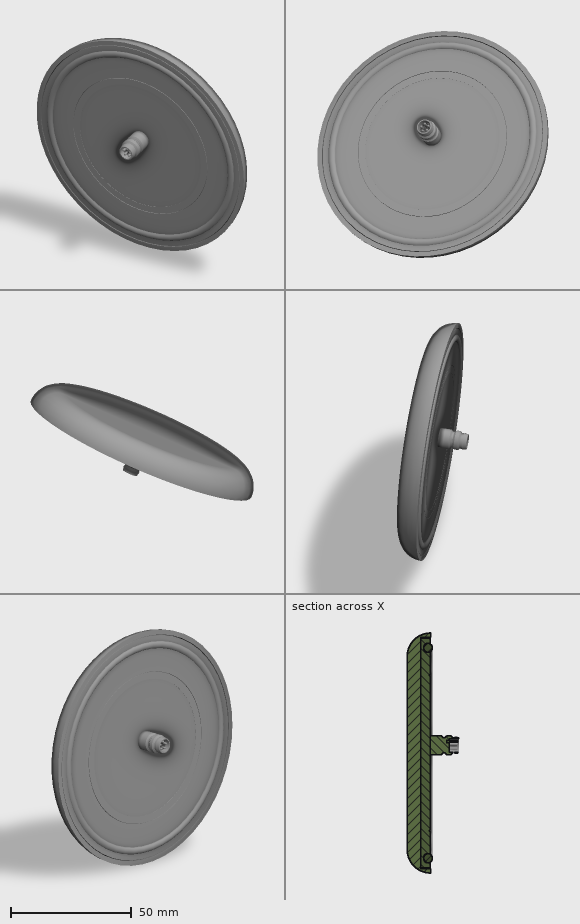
import cadquery as cq
import math


DOME_RADIUS = 49.9
DOME_HEIGHT = 10.0

PLATE_RADIUS = 47.6
PLATE_GAP = 0.3
PLATE_THICKNESS = 4.0
PLATE_RECESS = 0.1
GROOVE_RADIUS = 32.3
GROOVE_WIDTH = 0.2
GROOVE_DEPTH = 0.5
RECESS_RADIUS = 29.1
RECESS_DEPTH = 0.1

SEAL_RADIUS = 43.6
SEAL_WIRE_RADIUS = 1.8
SEAL_HEIGHT = 0.7

CONNECTOR_Z = 3.2
CONNECTOR_RADIUS = 4.0
NECK_RADIUS = 3.3
RIDGE_RADIUS = 3.5
TIP_RADIUS = 3.2
BORE_RADIUS = 2.7
BODY_END = 4.4
NECK_START = 5.1
NECK_END = 5.8
COLLAR_START = 6.6
COLLAR_END = 8.2
SLEEVE_START = 8.9
RIDGE_START = 10.0
CONNECTOR_LENGTH = 11.7
TIP_CHAMFER = 0.1

BORE_DEPTH = 4.0
KEY_HEIGHT = 0.5
KEY_SPREAD = math.radians(52)

PIN_COUNT = 5
PIN_RADIUS = 0.5
PIN_CIRCLE_RADIUS = 1.6
PIN_TIP_INSET = 0.5
PIN_SINK = 1.0

plate_back_y = PLATE_RECESS + PLATE_THICKNESS
recess_y = PLATE_RECESS + RECESS_DEPTH
bore_floor_y = BORE_DEPTH - CONNECTOR_LENGTH
seal_y = SEAL_WIRE_RADIUS - SEAL_HEIGHT


def disc(radius, y_start, y_end, x=0.0, z=0.0):
    """Cylinder along Y between two planes."""
    return (
        cq.Workplane("XZ", origin=(x, y_start, z))
        .circle(radius)
        .extrude(y_start - y_end)
    )


def turned(outline, z=0.0):
    """Solid of revolution about a line parallel to Y from a closed outline of radius and Y."""
    return outline.close().revolve(360, (0, 0, 0), (0, 1, 0)).translate((0, 0, z))


def make_dome():
    flat_radius = DOME_RADIUS - DOME_HEIGHT
    diagonal = DOME_HEIGHT * math.sqrt(0.5)
    outline = (
        cq.Workplane("XY")
        .lineTo(DOME_RADIUS, 0)
        .threePointArc((flat_radius + diagonal, diagonal), (flat_radius, DOME_HEIGHT))
        .lineTo(0, DOME_HEIGHT)
    )
    return turned(outline).cut(disc(PLATE_RADIUS + PLATE_GAP, 0, plate_back_y))


def make_seal():
    outline = cq.Workplane("XY").center(SEAL_RADIUS, seal_y).circle(SEAL_WIRE_RADIUS)
    return outline.revolve(360, (-SEAL_RADIUS, 0, 0), (-SEAL_RADIUS, 1, 0))


def make_plate(seal):
    groove_floor_y = PLATE_RECESS + GROOVE_DEPTH
    groove_core = disc(GROOVE_RADIUS - GROOVE_WIDTH, PLATE_RECESS, groove_floor_y)
    groove = disc(GROOVE_RADIUS, PLATE_RECESS, groove_floor_y).cut(groove_core)
    recess = disc(RECESS_RADIUS, PLATE_RECESS, recess_y)
    return disc(PLATE_RADIUS, PLATE_RECESS, plate_back_y).cut(groove).cut(recess).cut(seal)


def make_key():
    """Part of the bore above a roof-shaped edge whose peak and feet lie on the bore wall."""
    foot_x = BORE_RADIUS * math.sin(KEY_SPREAD)
    foot_z = BORE_RADIUS * math.cos(KEY_SPREAD)
    top_z = CONNECTOR_RADIUS
    key_y = bore_floor_y - KEY_HEIGHT
    side = (
        cq.Workplane("XZ", origin=(0, key_y, CONNECTOR_Z))
        .polyline([(0, BORE_RADIUS), (foot_x, foot_z), (foot_x, top_z), (0, top_z)])
        .close()
        .extrude(-KEY_HEIGHT)
    )
    roof = side.union(side.mirror("YZ"))
    return roof.intersect(disc((BORE_RADIUS + NECK_RADIUS) / 2, key_y, bore_floor_y, z=CONNECTOR_Z))


def make_connector():
    outline = (
        cq.Workplane("XY")
        .moveTo(0, recess_y)
        .lineTo(CONNECTOR_RADIUS, recess_y)
        .lineTo(CONNECTOR_RADIUS, -BODY_END)
        .lineTo(NECK_RADIUS, -NECK_START)
        .lineTo(NECK_RADIUS, -NECK_END)
        .lineTo(CONNECTOR_RADIUS, -COLLAR_START)
        .lineTo(CONNECTOR_RADIUS, -COLLAR_END)
        .lineTo(NECK_RADIUS, -SLEEVE_START)
        .lineTo(NECK_RADIUS, -RIDGE_START)
        .lineTo(RIDGE_RADIUS, -RIDGE_START)
        .lineTo(TIP_RADIUS, TIP_CHAMFER - CONNECTOR_LENGTH)
        .lineTo(TIP_RADIUS - TIP_CHAMFER, -CONNECTOR_LENGTH)
        .lineTo(BORE_RADIUS, -CONNECTOR_LENGTH)
        .lineTo(BORE_RADIUS, bore_floor_y)
        .lineTo(0, bore_floor_y)
    )
    return turned(outline, CONNECTOR_Z).union(make_key())


def make_pin(index):
    angle = math.pi / 2 + 2 * math.pi * index / PIN_COUNT
    x = PIN_CIRCLE_RADIUS * math.cos(angle)
    z = CONNECTOR_Z + PIN_CIRCLE_RADIUS * math.sin(angle)
    tip_y = PIN_TIP_INSET - CONNECTOR_LENGTH
    root_y = bore_floor_y + PIN_SINK
    shank = disc(PIN_RADIUS, tip_y + PIN_RADIUS, root_y, x, z)
    tip = cq.Workplane("XY").sphere(PIN_RADIUS).translate((x, tip_y + PIN_RADIUS, z))
    return shank.union(tip)


dome = make_dome()
seal = make_seal()
plate = make_plate(seal)
pins = [make_pin(index) for index in range(PIN_COUNT)]
connector = make_connector()
for pin in pins:
    connector = connector.cut(pin)

result = cq.Compound.makeCompound(
    [dome.val(), plate.val(), seal.val(), connector.val(), *[pin.val() for pin in pins]]
)